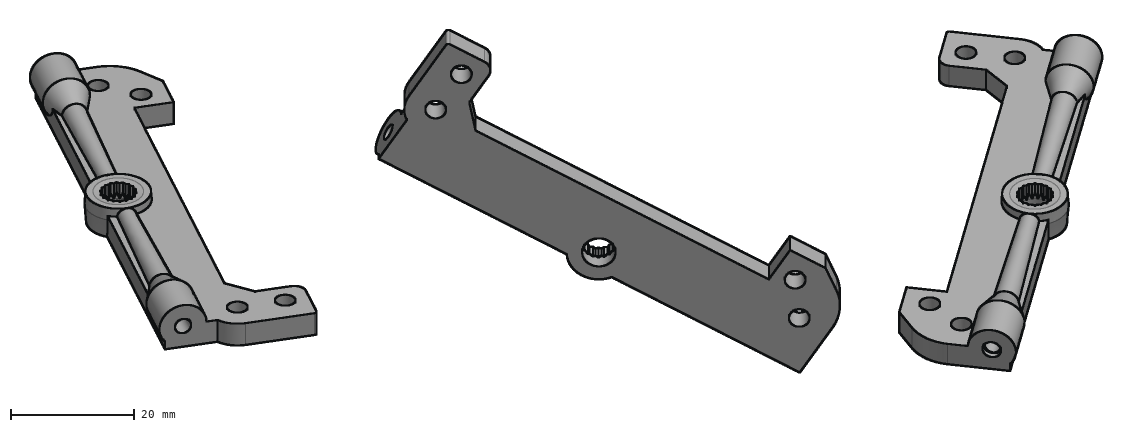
import cadquery as cq
import math


plate_thickness = 4.2
front_y = -3.0
bar_back_y = 9.8
right_edge_x = 42.1

left_ear_inner_x = -26.2
left_ear_top_y = 16.5
left_ear_slope_x = -33.0
left_ear_slope_angle = 36.5
left_ear_corner_radius = 8.0

right_ear_inner_x = 33.05
right_ear_top_y = 22.0
right_ear_web_x = 29.35
right_ear_web_top_y = 13.9
right_ear_inner_radius = 2.0
right_ear_outer_radius = 0.5

mount_hole_diameter = 3.4
left_hole_centres = [(-29.9, 12.0), (-34.35, 6.0)]
right_hole_x = 37.0
right_hole_y = 9.9
right_hole_spacing = 8.0

tube_half_length = 39.9
tube_end_radius = 3.98
tube_end_length = 8.0
flare_length = 4.9
rod_outer_radius = 2.1
rod_inner_radius = 1.6
tube_axis_z = tube_end_radius

end_hole_diameter = 2.7
end_hole_depth = tube_end_length
drill_tip_angle = 118
clearance_diameter = 3.0
clearance_depth = 1.1

boss_height = 5.65
boss_radius = 5.5
boss_top_radius = 5.3
boss_base_radius = 5.25
boss_taper_height = 3.45
countersink_radius = 4.1
countersink_depth = 0.12

bore_radius = 2.7
groove_root_radius = 2.95
groove_count = 18
groove_angle = 360 / groove_count
groove_bottom_z = 2.6
groove_runout_top_z = 3.6


def make_plate():
    left_x = -tube_half_length
    slope_run = left_ear_slope_x - left_x
    left_corner_y = left_ear_top_y - slope_run * math.tan(math.radians(left_ear_slope_angle))

    arc_radius = right_edge_x - right_hole_x
    arc_end_dx = tube_half_length - right_hole_x
    arc_end_y = right_hole_y - math.sqrt(arc_radius**2 - arc_end_dx**2)
    arc_mid_angle = math.atan2(arc_end_y - right_hole_y, arc_end_dx) / 2
    arc_mid = (
        right_hole_x + arc_radius * math.cos(arc_mid_angle),
        right_hole_y + arc_radius * math.sin(arc_mid_angle),
    )

    plate = (
        cq.Workplane("XY")
        .moveTo(left_x, front_y)
        .lineTo(left_x, left_corner_y)
        .lineTo(left_ear_slope_x, left_ear_top_y)
        .lineTo(left_ear_inner_x, left_ear_top_y)
        .lineTo(left_ear_inner_x, bar_back_y)
        .lineTo(right_ear_web_x, bar_back_y)
        .lineTo(right_ear_inner_x, right_ear_web_top_y)
        .lineTo(right_ear_inner_x, right_ear_top_y)
        .lineTo(right_edge_x, right_ear_top_y)
        .lineTo(right_edge_x, right_hole_y)
        .threePointArc(arc_mid, (tube_half_length, arc_end_y))
        .lineTo(tube_half_length, front_y)
        .close()
        .extrude(plate_thickness)
    )
    rounded_corners = [
        (left_x, left_corner_y, left_ear_corner_radius),
        (right_ear_inner_x, right_ear_top_y, right_ear_inner_radius),
        (right_edge_x, right_ear_top_y, right_ear_outer_radius),
    ]
    for x, y, radius in rounded_corners:
        corner = cq.selectors.NearestToPointSelector((x, y, plate_thickness / 2))
        plate = plate.edges("|Z").edges(corner).fillet(radius)
    return plate


def make_mount_holes():
    right_hole_centres = [(right_hole_x, right_hole_y + i * right_hole_spacing) for i in range(2)]
    return (
        cq.Workplane("XY")
        .pushPoints(left_hole_centres + right_hole_centres)
        .circle(mount_hole_diameter / 2)
        .extrude(plate_thickness)
    )


def revolve_about_tube_axis(profile):
    """Revolve a closed list of (x, radius) points about the tube axis."""
    return (
        cq.Workplane("XZ", origin=(0, 0, tube_axis_z))
        .polyline(profile)
        .close()
        .revolve(360, (0, 0, 0), (1, 0, 0))
    )


def make_half_tube():
    """Left half of the tube, from its end face to the boss axis."""
    flare_start_x = -tube_half_length + tube_end_length
    flare_end_x = flare_start_x + flare_length
    return revolve_about_tube_axis([
        (-tube_half_length, 0),
        (-tube_half_length, tube_end_radius),
        (flare_start_x, tube_end_radius),
        (flare_end_x, rod_outer_radius),
        (-boss_radius, rod_inner_radius),
        (0, rod_inner_radius),
        (0, 0),
    ])


def make_end_hole():
    """Blind hole with a drill-point bottom, in the left end of the tube."""
    radius = end_hole_diameter / 2
    tip_length = radius / math.tan(math.radians(drill_tip_angle / 2))
    bottom_x = -tube_half_length + end_hole_depth
    return revolve_about_tube_axis([
        (-tube_half_length, 0),
        (-tube_half_length, radius),
        (bottom_x, radius),
        (bottom_x + tip_length, 0),
    ])


def make_end_clearance():
    """Wider, short entry of the left end hole."""
    return (
        cq.Workplane("YZ", origin=(-tube_half_length, 0, tube_axis_z))
        .circle(clearance_diameter / 2)
        .extrude(clearance_depth)
    )


def make_boss():
    return (
        cq.Workplane("XZ")
        .polyline([
            (0, 0),
            (boss_base_radius, 0),
            (boss_radius, boss_taper_height),
            (boss_top_radius, boss_height),
            (0, boss_height),
        ])
        .close()
        .revolve(360, (0, 0, 0), (0, 1, 0))
    )


def make_splined_bore():
    """Plain round bore with V grooves that run out conically into it part-way down."""
    bore = cq.Workplane("XY").circle(bore_radius).extrude(boss_height)
    outline = []
    for i in range(groove_count):
        root_angle = math.radians(90 + i * groove_angle)
        tip_angle = root_angle + math.radians(groove_angle / 2)
        for radius, angle in [(groove_root_radius, root_angle), (bore_radius, tip_angle)]:
            outline.append((radius * math.cos(angle), radius * math.sin(angle)))
    grooves = (
        cq.Workplane("XY", origin=(0, 0, groove_bottom_z))
        .polyline(outline)
        .close()
        .extrude(boss_height - groove_bottom_z)
    )
    runout = (
        cq.Workplane("XZ")
        .polyline([
            (0, groove_bottom_z),
            (bore_radius, groove_bottom_z),
            (groove_root_radius, groove_runout_top_z),
            (groove_root_radius, boss_height),
            (0, boss_height),
        ])
        .close()
        .revolve(360, (0, 0, 0), (0, 1, 0))
    )
    return bore.union(grooves.intersect(runout))


def make_countersink():
    """Shallow conical recess in the boss top, with the space above it."""
    floor_z = boss_height - countersink_depth
    return (
        cq.Workplane("XZ")
        .polyline([
            (0, floor_z),
            (bore_radius, floor_z),
            (countersink_radius, boss_height),
            (boss_radius, boss_height),
            (boss_radius, 2 * tube_end_radius),
            (0, 2 * tube_end_radius),
        ])
        .close()
        .revolve(360, (0, 0, 0), (0, 1, 0))
    )


left_tube = make_half_tube()
left_end_hole = make_end_hole()

result = (
    make_plate()
    .cut(make_mount_holes())
    .union(left_tube)
    .union(left_tube.mirror("YZ"))
    .union(make_boss())
    .cut(left_end_hole)
    .cut(left_end_hole.mirror("YZ"))
    .cut(make_end_clearance())
    .cut(make_countersink())
    .cut(make_splined_bore())
)